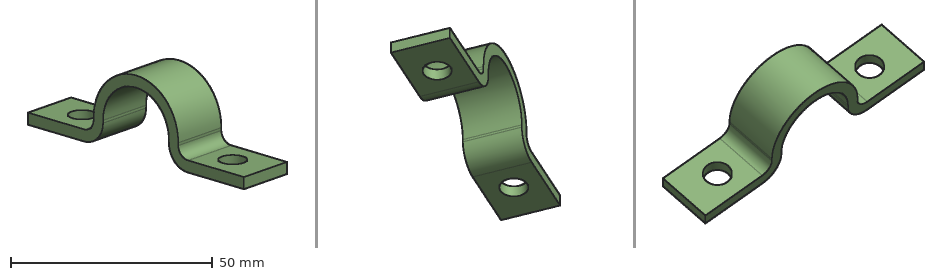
import cadquery as cq

length = 73.0
width = 15.85
height = 21.5
thickness = 3.2
arch_outer_radius = 14.3
bend_inner_radius = 3.2
hole_diameter = 7.2
hole_spacing = 50.8

arch_inner_radius = arch_outer_radius - thickness
bend_outer_radius = bend_inner_radius + thickness
arch_center_z = height - arch_outer_radius
bend_center_x = arch_outer_radius + bend_inner_radius
bend_center_z = thickness + bend_inner_radius
half_length = length / 2


def strap_profile():
    """Closed side outline of the bent strip, with its feet resting on Z = 0."""
    return (
        cq.Workplane("XZ")
        .moveTo(-half_length, 0)
        .lineTo(-half_length, thickness)
        .lineTo(-bend_center_x, thickness)
        .radiusArc((-arch_outer_radius, bend_center_z), -bend_inner_radius)
        .lineTo(-arch_outer_radius, arch_center_z)
        .threePointArc((0, height), (arch_outer_radius, arch_center_z))
        .lineTo(arch_outer_radius, bend_center_z)
        .radiusArc((bend_center_x, thickness), -bend_inner_radius)
        .lineTo(half_length, thickness)
        .lineTo(half_length, 0)
        .lineTo(bend_center_x, 0)
        .radiusArc((arch_inner_radius, bend_center_z), bend_outer_radius)
        .lineTo(arch_inner_radius, arch_center_z)
        .threePointArc((0, height - thickness), (-arch_inner_radius, arch_center_z))
        .lineTo(-arch_inner_radius, bend_center_z)
        .radiusArc((-bend_center_x, 0), bend_outer_radius)
        .close()
    )


def foot_holes():
    """Vertical cylinders that cut one screw hole through each foot."""
    return (
        cq.Workplane("XY")
        .pushPoints([(-hole_spacing / 2, 0), (hole_spacing / 2, 0)])
        .circle(hole_diameter / 2)
        .extrude(thickness)
    )


strap = strap_profile().extrude(width / 2, both=True)
result = strap.cut(foot_holes())